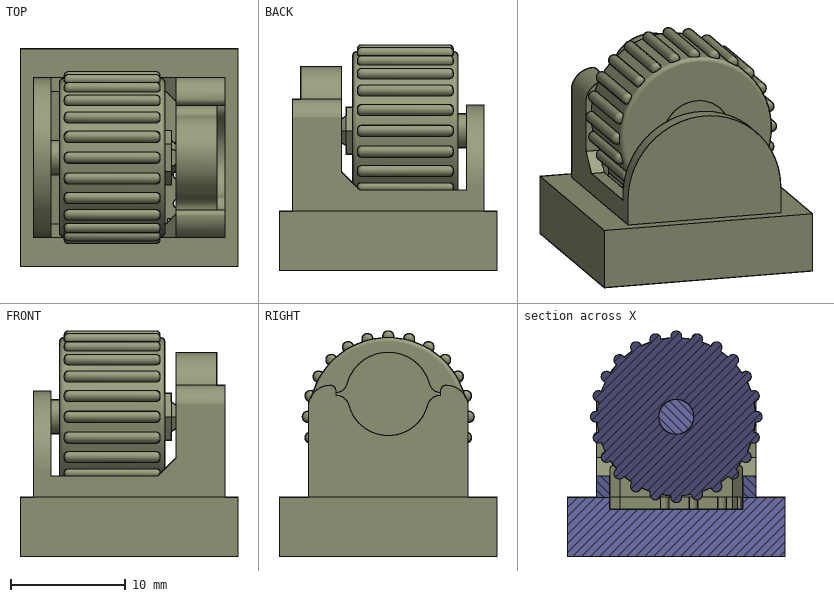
import cadquery as cq
import math

total_height = 19.74

base_side = 19.05
base_height = 5.2

bracket_left = -8.37
bracket_right = 8.39
bracket_half_width = 6.99
floor_top = 7.05
left_wall_inner = -6.83
left_wall_spring = 7.62
left_wall_top = 14.5
right_wall_inner = 4.09
slope_run = 1.6

lug_side_top = 13.36
lug_top = 14.98
lug_radius = 2.0
lug_peak_half = 5.05
lug_inner_half = 4.58
lug_inner_radius = 0.5
dome_radius = 3.73
dome_axis_z = 14.13
dome_end = 7.65
dome_fillet = 1.0
pocket_radius = 3.55

well_half_width = 5.8
well_corner = 0.89
well_floor = 4.15

terminal_count = 3
terminal_pitch = 2.5
terminal_diameter = 0.8
terminal_x = 4.26
terminal_middle_y = -1.5
key_hole_side = 0.79
key_hole_x = 3.35
key_hole_y = -5.35

axis_z = 12.22
wheel_left = -6.1
wheel_right = 3.12
wheel_radius = 6.93
edge_round = 0.38
rib_count = 24
rib_radius = 0.5
rib_inset = 0.41
rib_circle_radius = total_height - axis_z - rib_radius

axle_diameter = 3.0
hub_diameter = 6.15
hub_depth = 0.99
nut_flats = 4.13
nut_right = 3.7
tip_flats_large = 2.6
tip_flats_small = 2.07


def yz_plane(x, z=0):
    """Plane facing +X at the given x, with local axes along Y and Z."""
    return cq.Workplane("YZ", origin=(x, 0, z))


def disc(x_start, x_end, radius):
    """Cylinder along X on the wheel axis."""
    return yz_plane(x_start, axis_z).circle(radius).extrude(x_end - x_start)


def well_shape():
    """Volume of the wheel well, with a sloped left end and chamfered right corners."""
    plan = (
        cq.Workplane("XY", origin=(0, 0, well_floor))
        .moveTo(left_wall_inner, -well_half_width)
        .lineTo(right_wall_inner - well_corner, -well_half_width)
        .lineTo(right_wall_inner, -well_half_width + well_corner)
        .lineTo(right_wall_inner, well_half_width - well_corner)
        .lineTo(right_wall_inner - well_corner, well_half_width)
        .lineTo(left_wall_inner, well_half_width)
        .close()
        .extrude(floor_top + slope_run - well_floor)
    )
    sloped_end = (
        cq.Workplane("XZ", origin=(0, well_half_width, 0))
        .moveTo(left_wall_inner, well_floor)
        .lineTo(left_wall_inner + base_height - well_floor, well_floor)
        .lineTo(left_wall_inner, base_height)
        .close()
        .extrude(2 * well_half_width)
    )
    return plan.cut(sloped_end)


def make_base():
    block = cq.Workplane("XY").box(base_side, base_side, base_height, centered=(True, True, False))
    base = block.cut(well_shape())
    for index in range(terminal_count):
        y = terminal_middle_y + (index - (terminal_count - 1) / 2) * terminal_pitch
        hole = cq.Workplane("XY").center(terminal_x, y).circle(terminal_diameter / 2).extrude(base_height)
        base = base.cut(hole)
    key_hole = cq.Workplane("XY", origin=(key_hole_x, key_hole_y - key_hole_side, 0)).box(
        key_hole_side, key_hole_side, base_height, centered=False
    )
    return base.cut(key_hole)


def left_wall():
    return (
        yz_plane(bracket_left)
        .moveTo(-bracket_half_width, base_height)
        .lineTo(bracket_half_width, base_height)
        .lineTo(bracket_half_width, left_wall_spring)
        .threePointArc((0, left_wall_top), (-bracket_half_width, left_wall_spring))
        .close()
        .extrude(left_wall_inner - bracket_left)
    )


def floor_and_slope():
    return (
        cq.Workplane("XZ", origin=(0, bracket_half_width, 0))
        .moveTo(left_wall_inner, base_height)
        .lineTo(right_wall_inner, base_height)
        .lineTo(right_wall_inner, floor_top + slope_run)
        .lineTo(right_wall_inner - slope_run, floor_top)
        .lineTo(left_wall_inner, floor_top)
        .close()
        .extrude(2 * bracket_half_width)
    )


fillet_rise = math.sqrt((dome_radius + dome_fillet) ** 2 - lug_inner_half**2)
lip_radius = dome_radius + dome_fillet - pocket_radius


def tangent_point(radius):
    """Y and height from the dome axis where an arc of this radius meets its fillet."""
    reach = radius / (dome_radius + dome_fillet)
    return lug_inner_half * reach, fillet_rise * reach


def lug_block():
    """Full-length wall with both rounded lugs and the round pocket between them."""
    lug_foot = lug_top - lug_inner_radius
    lip_top = dome_axis_z - fillet_rise + lip_radius
    mouth_y, mouth_drop = tangent_point(pocket_radius)
    mouth_z = dome_axis_z - mouth_drop
    return (
        yz_plane(right_wall_inner)
        .moveTo(-bracket_half_width, base_height)
        .lineTo(bracket_half_width, base_height)
        .lineTo(bracket_half_width, lug_side_top)
        .radiusArc((lug_peak_half, lug_top), -lug_radius)
        .radiusArc((lug_inner_half, lug_foot), -lug_inner_radius)
        .lineTo(lug_inner_half, lip_top)
        .radiusArc((mouth_y, mouth_z), -lip_radius)
        .threePointArc((0, dome_axis_z - pocket_radius), (-mouth_y, mouth_z))
        .radiusArc((-lug_inner_half, lip_top), -lip_radius)
        .lineTo(-lug_inner_half, lug_foot)
        .radiusArc((-lug_peak_half, lug_top), -lug_inner_radius)
        .radiusArc((-bracket_half_width, lug_side_top), -lug_radius)
        .close()
        .extrude(bracket_right - right_wall_inner)
    )


def dome():
    """Dome with a concave fillet running down to each lug."""
    join_y, join_rise = tangent_point(dome_radius)
    join_z = dome_axis_z + join_rise
    valley_z = dome_axis_z + fillet_rise - dome_fillet
    return (
        yz_plane(right_wall_inner)
        .moveTo(-lug_inner_half, base_height)
        .lineTo(lug_inner_half, base_height)
        .lineTo(lug_inner_half, valley_z)
        .radiusArc((join_y, join_z), dome_fillet)
        .threePointArc((0, dome_axis_z + dome_radius), (-join_y, join_z))
        .radiusArc((-lug_inner_half, valley_z), dome_fillet)
        .close()
        .extrude(dome_end - right_wall_inner)
    )


def make_bracket():
    right_wall = lug_block().union(dome())
    return left_wall().union(floor_and_slope()).union(right_wall).cut(well_shape())


def make_wheel():
    wheel = disc(wheel_left, wheel_right, wheel_radius).edges().fillet(edge_round)
    rib_length = wheel_right - wheel_left - 2 * rib_inset
    rib = (
        yz_plane(wheel_left + rib_inset, axis_z + rib_circle_radius)
        .circle(rib_radius)
        .extrude(rib_length)
        .edges("%CIRCLE")
        .fillet(edge_round)
    )
    axis_start = (0, 0, axis_z)
    axis_end = (1, 0, axis_z)
    for index in range(rib_count):
        wheel = wheel.union(rib.rotate(axis_start, axis_end, index * 360 / rib_count))
    return wheel.cut(make_axle())


def make_axle():
    """Axle from the left wall through the wheel, with a hub sunk into the wheel."""
    shaft = disc(left_wall_inner, wheel_right, axle_diameter / 2)
    hub = disc(wheel_left, wheel_left + hub_depth, hub_diameter / 2)
    return shaft.union(hub)


def across_corners(flats):
    """Width of a hexagon over its corners, from its width over the flats."""
    return flats / math.cos(math.pi / 6)


def hexagon(x, flats):
    """Hexagon on the wheel axis with corners pointing along Y."""
    return yz_plane(x, axis_z).polygon(6, across_corners(flats))


def make_nut():
    return hexagon(wheel_right, nut_flats).extrude(nut_right - wheel_right)


def make_tip():
    """Tapered hexagonal tip between the nut and the right wall."""
    return (
        hexagon(nut_right, tip_flats_large)
        .workplane(offset=right_wall_inner - nut_right)
        .polygon(6, across_corners(tip_flats_small))
        .loft(ruled=True)
    )


base = make_base()
bracket = make_bracket()
wheel = make_wheel()
axle = make_axle()
nut = make_nut()
tip = make_tip()

result = cq.Compound.makeCompound(
    [base.val(), bracket.val(), wheel.val(), axle.val(), nut.val(), tip.val()]
)